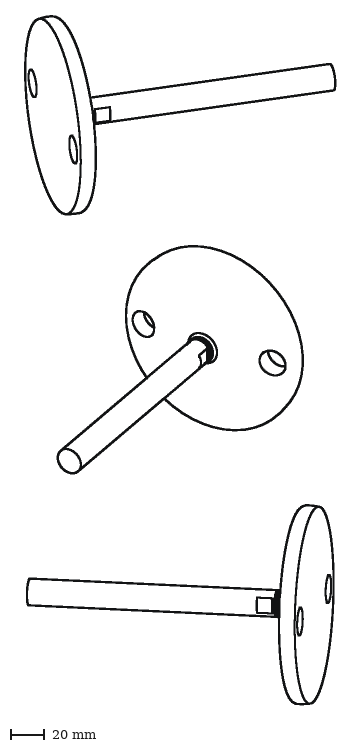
import cadquery as cq
import math

total_length = 172.0
foot_diameter = 118.0
foot_radius = foot_diameter / 2

underside_radius = 58.5
rim_taper_top = 4.1
rim_straight_top = 7.0
rim_round_radius = 3.0

cone_angle = 9.0
rim_round_angle = math.radians(90 - cone_angle)
collar_diameter = 16.5
collar_radius = collar_diameter / 2
collar_bottom = 19.8
collar_top = 20.8
foot_top = 22.0
hub_foot_radius = 11.2
flare_end_radius = 10.0

mount_hole_diameter = 16.5
mount_hole_offset = 42.7
mount_hole_count = 2
cutter_length = 51.6

stem_diameter = 16.0
stem_radius = stem_diameter / 2
stem_shoulder = 22.5
neck_radius = 6.2
flats_width = 13.0
flats_bottom = 23.9
flats_length = 9.3


def make_foot():
    """Turned foot: tapered rim, rounded edge, conical cover and a flared narrow collar."""
    round_centre = foot_radius - rim_round_radius
    round_end_radius = round_centre + rim_round_radius * math.cos(rim_round_angle)
    round_end_level = rim_straight_top + rim_round_radius * math.sin(rim_round_angle)
    round_mid_radius = round_centre + rim_round_radius * math.cos(rim_round_angle / 2)
    round_mid_level = rim_straight_top + rim_round_radius * math.sin(rim_round_angle / 2)
    cone_rise = (round_end_radius - hub_foot_radius) * math.tan(math.radians(cone_angle))
    flare_end_level = collar_bottom - (flare_end_radius - collar_radius)
    profile = (
        cq.Workplane("XY")
        .moveTo(0, 0)
        .lineTo(underside_radius, 0)
        .lineTo(foot_radius, rim_taper_top)
        .lineTo(foot_radius, rim_straight_top)
        .threePointArc((round_mid_radius, round_mid_level), (round_end_radius, round_end_level))
        .lineTo(hub_foot_radius, round_end_level + cone_rise)
        .tangentArcPoint((flare_end_radius, flare_end_level), relative=False)
        .lineTo(collar_radius, collar_bottom)
        .lineTo(collar_radius, collar_top)
        .lineTo(neck_radius, foot_top)
        .lineTo(0, foot_top)
        .close()
    )
    foot = profile.revolve(360, (0, 0, 0), (0, 1, 0))
    for index in range(mount_hole_count):
        foot = foot.cut(make_hole_cutter(index * 360 / mount_hole_count))
    return foot


def make_hole_cutter(turn):
    """Cylinder leaning outward by the cone angle, turned about the Y axis."""
    return (
        cq.Workplane("XZ")
        .circle(mount_hole_diameter / 2)
        .extrude(cutter_length / 2, both=True)
        .rotate((0, 0, 0), (0, 0, 1), -cone_angle)
        .translate((mount_hole_offset, 0, 0))
        .rotate((0, 0, 0), (0, 1, 0), turn)
    )


def make_stem():
    """Round stem standing on the foot by a short neck, with two wrench flats."""
    stem = (
        cq.Workplane("XY")
        .moveTo(0, foot_top)
        .lineTo(neck_radius, foot_top)
        .lineTo(neck_radius, stem_shoulder)
        .lineTo(stem_radius, stem_shoulder)
        .lineTo(stem_radius, total_length)
        .lineTo(0, total_length)
        .close()
        .revolve(360, (0, 0, 0), (0, 1, 0))
    )
    for side in (-1, 1):
        flat_cutter = cq.Workplane("XY").box(stem_radius, flats_length, stem_diameter).translate(
            (side * (flats_width + stem_radius) / 2, flats_bottom + flats_length / 2, 0)
        )
        stem = stem.cut(flat_cutter)
    return stem


foot = make_foot()
stem = make_stem()
result = cq.Compound.makeCompound([foot.val(), stem.val()])